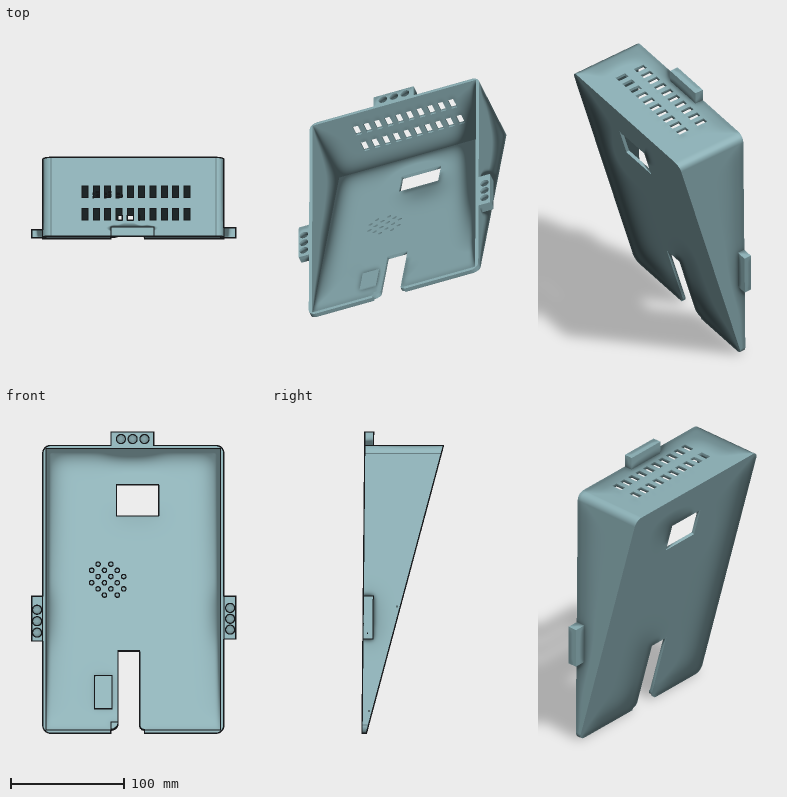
import cadquery as cq
import math

body_width = 160.0
body_height = 254.0
body_depth = 72.0
back_angle = math.radians(15)
front_setback = 2.5
wall = 3.0
corner_radius = 7.2
rim_lean = math.atan(front_setback / body_height)
back_foot = body_depth - body_height * math.tan(back_angle)
plate_thickness_y = wall / math.cos(back_angle)

total_height = 266
side_x = body_width / 2
tab_root = wall / 2
tab_hole_radius = 8.0 / 2
tab_hole_depth = 4.0
tab_hole_count = 3
side_tab_top = 121.0
side_tab_recess = 0.13
left_tab_bottom = 81.5
left_tab_reach = 9.8
left_tab_depth = 7.0
left_tab_first_hole = (-84.9, 109.0)
left_tab_hole_pitch = 10.0
right_tab_bottom = 83.3
right_tab_reach = 10.6
right_tab_depth = 8.8
right_tab_first_hole = (85.5, 110.7)
right_tab_hole_pitch = 9.5
top_tab_left = -19.7
top_tab_right = 18.0
top_tab_depth = 8.0
top_tab_first_hole = (-11.0, 259.6)
top_tab_hole_pitch = 10.5

window_left = -14.5
window_width = 37.0
window_bottom = 191.8
window_height = 28.0

slot_left = -13.3
slot_right = 5.5
slot_top = 73.0
notch_left = -19.7
notch_right = 9.8
notch_top = 3.5

label_pad_thickness = 1.3
label_pad_left = -34.0
label_pad_width = 15.5
label_pad_bottom = 21.5
label_pad_height = 29.3
corner_pad_thickness = 0.8
corner_pad_top = 9.8

speaker_x = -22.5
speaker_z = 135.7
speaker_hole_radius = 4.0 / 2
speaker_hole_depth = 0.5
speaker_pitch = 8.0
speaker_rows = 4
speaker_columns = 5
speaker_turn = 45

vent_columns = 10
vent_rows = 2
vent_span = 90.0
vent_pitch = vent_span / (vent_columns - 1)
vent_row_pitch = 20.0
vent_width = 5.3
vent_length = 10.5
vent_center_x = 2.5
vent_center_y = 31.7


def front_y(z):
    """Y of the leaning front rim at height z."""
    return front_setback * z / body_height


def plate_y(z):
    """Y of the inner face of the back plate at height z."""
    return back_foot + z * math.tan(back_angle) - plate_thickness_y


def up_plate(height):
    """Length along the sloping plate that spans a vertical height."""
    return height / math.cos(back_angle)


def block(x0, x1, y0, y1, z0, z1):
    size = (x1 - x0, y1 - y0, z1 - z0)
    return cq.Workplane("XY").box(*size, centered=False).translate((x0, y0, z0))


def on_plate(x, z):
    """Workplane on the inner face of the back plate: local Y runs up the slope, +normal faces the front."""
    normal = (0, -math.cos(back_angle), math.sin(back_angle))
    return cq.Workplane(cq.Plane(origin=(x, plate_y(z), z), xDir=(1, 0, 0), normal=normal))


def wedge():
    profile = [
        (0, 0),
        (back_foot, 0),
        (body_depth, body_height),
        (front_setback, body_height),
    ]
    side = cq.Workplane("YZ").polyline(profile).close().extrude(side_x, both=True)
    rounded = block(-side_x, side_x, 0, body_depth, 0, body_height).edges("|Y").fillet(corner_radius)
    return side.intersect(rounded)


def cavity():
    ceiling = body_height - wall
    profile = [
        (-body_depth, wall),
        (plate_y(wall), wall),
        (plate_y(ceiling), ceiling),
        (-body_depth, ceiling),
    ]
    return cq.Workplane("YZ").polyline(profile).close().extrude(side_x - wall, both=True)


def tab(x_range, recess, depth, z_range, first_hole, step):
    """Block parallel to the leaning front rim and set back from it by recess.

    Its row of blind holes starts at first_hole (x, z) and advances by step (dx, dz).
    """
    foot_z = z_range[0]
    y0 = front_y(foot_z) + recess
    body = block(*x_range, y0, y0 + depth, *z_range)
    for i in range(tab_hole_count):
        center = (first_hole[0] + i * step[0], y0, first_hole[1] + i * step[1])
        hole = cq.Workplane("XZ", origin=center).circle(tab_hole_radius).extrude(-tab_hole_depth)
        body = body.cut(hole)
    return body.rotate((0, y0, foot_z), (1, y0, foot_z), -math.degrees(rim_lean))


def left_tab():
    return tab(
        (-side_x - left_tab_reach, -side_x + tab_root),
        side_tab_recess,
        left_tab_depth,
        (left_tab_bottom, side_tab_top),
        left_tab_first_hole,
        (0, -left_tab_hole_pitch),
    )


def right_tab():
    return tab(
        (side_x - tab_root, side_x + right_tab_reach),
        side_tab_recess,
        right_tab_depth,
        (right_tab_bottom, side_tab_top),
        right_tab_first_hole,
        (0, -right_tab_hole_pitch),
    )


def top_tab():
    return tab(
        (top_tab_left, top_tab_right),
        0,
        top_tab_depth,
        (body_height - tab_root, total_height),
        top_tab_first_hole,
        (top_tab_hole_pitch, 0),
    )


def window():
    outline = on_plate(window_left, window_bottom).rect(window_width, up_plate(window_height), centered=False)
    return outline.extrude(2 * wall, both=True)


def slot():
    left_round = notch_left - slot_left
    right_round = slot_right - notch_right
    end = up_plate(slot_top)
    shoulder = up_plate(notch_top)
    below_body = -body_depth / 4
    outline = (
        on_plate(0, 0)
        .moveTo(notch_left, below_body)
        .lineTo(notch_left, shoulder)
        .radiusArc((slot_left, shoulder - left_round), left_round)
        .lineTo(slot_left, end)
        .lineTo(slot_right, end)
        .lineTo(slot_right, shoulder - right_round)
        .radiusArc((notch_right, shoulder), right_round)
        .lineTo(notch_right, below_body)
        .close()
    )
    return outline.extrude(4 * wall, both=True)


def pad(left, width, bottom, height, thickness):
    return on_plate(left, bottom).rect(width, up_plate(height), centered=False).extrude(thickness)


def speaker_dimples():
    centers = []
    for row in range(speaker_rows):
        for column in range(speaker_columns):
            if row in (0, speaker_rows - 1) and column in (0, speaker_columns - 1):
                continue
            u = (row - (speaker_rows - 1) / 2) * speaker_pitch
            v = (column - (speaker_columns - 1) / 2) * speaker_pitch
            centers.append((u, v))
    turned = on_plate(speaker_x, speaker_z).transformed(rotate=(0, 0, speaker_turn))
    return turned.pushPoints(centers).circle(speaker_hole_radius).extrude(-speaker_hole_depth)


def vents():
    return (
        cq.Workplane("XY", origin=(vent_center_x, vent_center_y, body_height - wall))
        .rarray(vent_pitch, vent_row_pitch, vent_columns, vent_rows)
        .rect(vent_width, vent_length)
        .extrude(2 * wall, both=True)
    )


label_pad = pad(
    label_pad_left, label_pad_width, label_pad_bottom, label_pad_height, label_pad_thickness
)
corner_pad = pad(
    notch_left, slot_left - notch_left, notch_top, corner_pad_top - notch_top, corner_pad_thickness
)

result = wedge().cut(cavity())
result = result.union(left_tab()).union(right_tab()).union(top_tab())
result = result.union(label_pad).union(corner_pad)
result = result.cut(slot()).cut(window())
result = result.cut(speaker_dimples()).cut(vents())